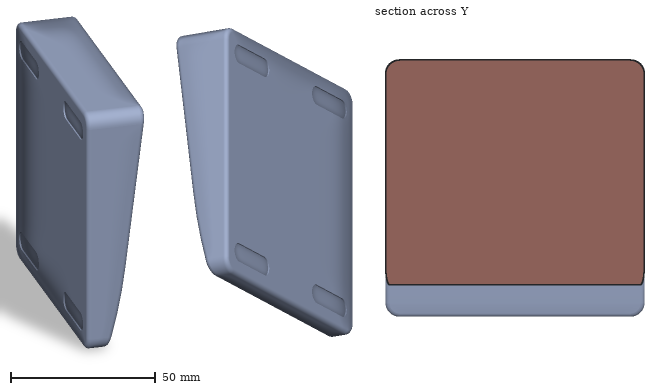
import cadquery as cq
import math

width = 89.75
height = 88.9
depth = 21.2
corner_radius = 4.9
edge_radius = 1.5

arc_start_z = 30.2
arc_start_depth = 14.1
bottom_depth = 7.7

slot_length = 24.5
slot_width = 6.6
slot_depth = 0.5
slot_spacing_x = 54.75
slot_spacing_z = 72.0


def sloping_top_depth():
    """Depth of the sharp top edge that rounds down to the overall depth."""
    run = height - arc_start_z
    top_depth = depth
    refinement_steps = 10
    for _ in range(refinement_steps):
        slope = (top_depth - arc_start_depth) / run
        top_depth = depth + edge_radius * (slope + math.hypot(1, slope) - 1)
    return top_depth


def make_body():
    top_depth = sloping_top_depth()
    wedge = (
        cq.Workplane("YZ")
        .moveTo(0, 0)
        .lineTo(0, height)
        .lineTo(top_depth, height)
        .lineTo(arc_start_depth, arc_start_z)
        .tangentArcPoint((bottom_depth, 0), relative=False)
        .close()
        .extrude(width / 2, both=True)
    )
    wedge = wedge.edges("|Y").fillet(corner_radius)
    return wedge.faces("<Y").edges().fillet(edge_radius)


def make_slots():
    return (
        cq.Workplane("XZ", origin=(0, 0, height / 2))
        .rarray(slot_spacing_x, slot_spacing_z, 2, 2)
        .slot2D(slot_length, slot_width)
        .extrude(-slot_depth)
    )


def round_sloping_rim(body):
    return body.faces(">Z").edges(">Y").fillet(edge_radius)


result = make_body()
result = round_sloping_rim(result).cut(make_slots())